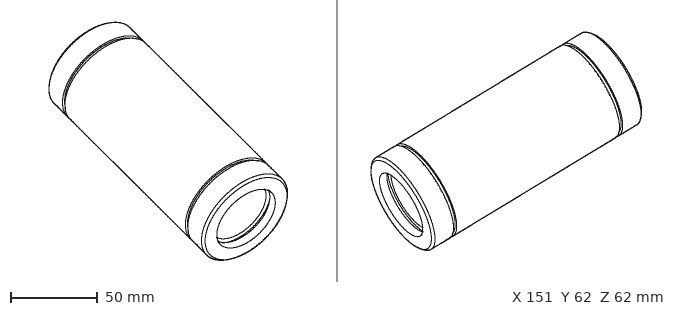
import cadquery as cq

length = 151.0
outer_diameter = 62.0
bore_diameter = 40.0

chamfer_size = 1.5

groove_diameter = 59.0
groove_width = 2.3
groove_inset = 14.8

counterbore_diameter = 42.1
counterbore_depth = 7.5
undercut_diameter = 46.2
undercut_width = 2.3
undercut_inset = counterbore_depth - undercut_width


def cylinder_along_x(start, span, diameter):
    return cq.Workplane("YZ").workplane(offset=start).circle(diameter / 2).extrude(span)


def cylinders_at_both_ends(inset, span, diameter):
    """Two matching cylinders, each starting at the given inset from its end face."""
    left = cylinder_along_x(-length / 2 + inset, span, diameter)
    return left.add(left.mirror("YZ")).combine()


sleeve = cylinder_along_x(-length / 2, length, outer_diameter).edges("%CIRCLE").chamfer(chamfer_size)
sleeve = sleeve.cut(cylinder_along_x(-length / 2, length, bore_diameter))

groove_blanks = cylinders_at_both_ends(groove_inset, groove_width, outer_diameter)
groove_floors = cylinders_at_both_ends(groove_inset, groove_width, groove_diameter)
sleeve = sleeve.cut(groove_blanks.cut(groove_floors))

sleeve = sleeve.cut(cylinders_at_both_ends(0, counterbore_depth, counterbore_diameter))
sleeve = sleeve.cut(cylinders_at_both_ends(undercut_inset, undercut_width, undercut_diameter))

result = sleeve